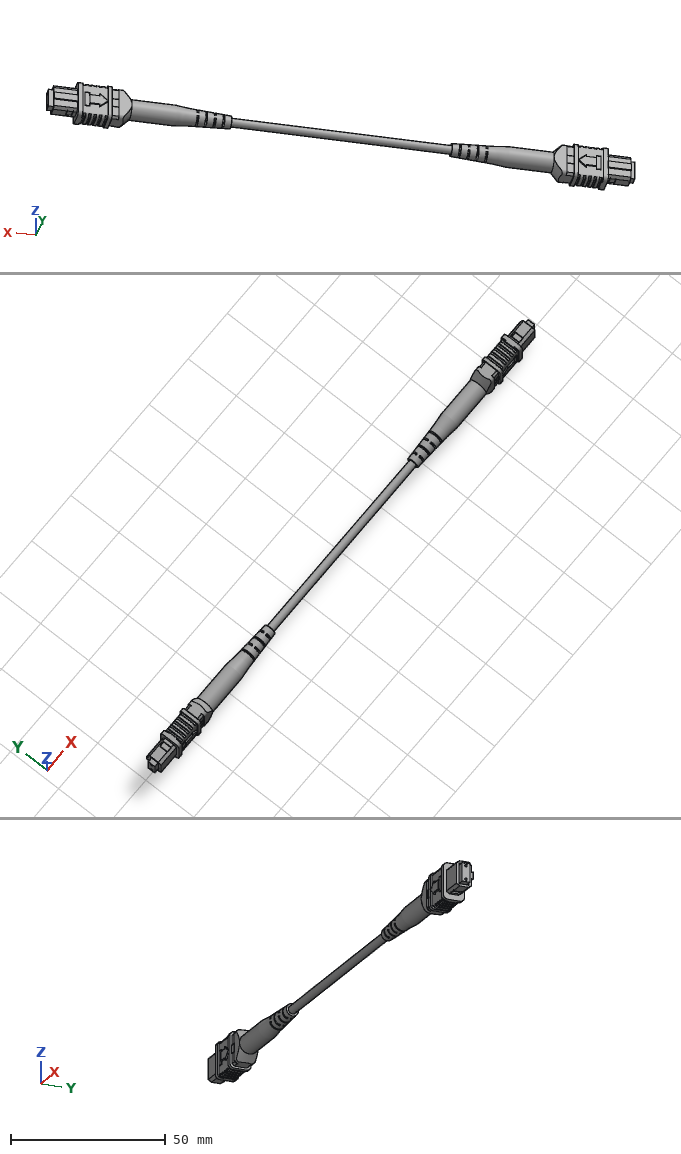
import cadquery as cq

total_length = 194.2
half_length = total_length / 2

ferrule_thickness = 2.7
ferrule_height = 6.5
pin_hole_diameter = 0.8
pin_hole_offset = 2.3
pin_hole_depth = 3.9

plug_front_at = 1.5
plug_thickness = 5.5
plug_height = 8.7
plug_chamfer_y = 1.2
plug_chamfer_z = 0.8
cavity_clearance = 0.4
cavity_depth = 2.0
key_height = 0.5
key_width = 2.3
notch_front_at = 6.2
notch_length = 2.0
notch_width = 3.1
notch_depth = 0.5

grip_front_at = 9.3
grip_rear_at = 20.5
grip_thickness = 7.5
grip_height = 12.6
grip_corner_radius = 1.5

first_groove_at = 11.3
groove_pitch = 1.7
groove_width = 0.8
groove_depth = 1.0
groove_count = 4
end_groove_at = 18.5

flange_front_end_at = 10.9
flange_rear_start_at = 19.2
panel_depth = 0.5
tail_at = 11.6
tail_height = panel_depth / 2
tail_width = 5.0
arrow_start_at = 13.2
arrow_head_at = 16.5
arrow_shaft_width = 3.1
arrow_head_width = 4.7

shoulder_at = 23.0
taper_at = 24.9
housing_rear_at = 27.2
neck_thickness = 6.0
shoulder_thickness = 6.8
housing_height = 11.3
neck_chamfer = 0.8
shoulder_radius = 1.4
tab_width = 3.0
tab_height = 0.2

boot_diameter = shoulder_thickness
cone_at = 42.0
ring_at = 46.4
boot_end_at = 60.5
ring_diameter = 5.8
boot_end_diameter = 4.3
first_slot_at = 49.0
slot_pitch = 3.0
slot_width = 0.5
slot_count = 4
slot_bridge = 1.2

cable_diameter = 3.0


def along(at):
    """X of a point at a given distance from the left end of the cord."""
    return at - half_length


def block(front_at, rear_at, thickness, height):
    """Box centred on the axis between two distances from the end."""
    return (
        cq.Workplane("YZ", origin=(along(front_at), 0, 0))
        .rect(thickness, height)
        .extrude(rear_at - front_at)
    )


def make_plug():
    cavity_end_at = plug_front_at + cavity_depth
    ferrule = block(0, cavity_end_at, ferrule_thickness, ferrule_height)
    cavity = block(
        plug_front_at,
        cavity_end_at,
        ferrule_thickness + 2 * cavity_clearance,
        ferrule_height + 2 * cavity_clearance,
    )
    body = block(plug_front_at, grip_front_at, plug_thickness, plug_height)
    body = body.edges("|X").chamfer(plug_chamfer_y, plug_chamfer_z)
    key_reach = plug_thickness / 2 + key_height
    key = block(plug_front_at, grip_front_at, key_reach, key_width)
    key = key.translate((0, key_reach / 2, 0))
    plug = body.union(key).cut(cavity).union(ferrule)

    pin_holes = (
        cq.Workplane("YZ", origin=(along(0), 0, 0))
        .pushPoints([(0, -pin_hole_offset), (0, pin_hole_offset)])
        .circle(pin_hole_diameter / 2)
        .extrude(pin_hole_depth)
    )
    plug = plug.cut(pin_holes)

    notch = block(notch_front_at, notch_front_at + notch_length, notch_width, 2 * notch_depth)
    for side in (-1, 1):
        plug = plug.cut(notch.translate((0, 0, side * plug_height / 2)))
    return plug


def rounded_block(front_at, rear_at, thickness):
    """Full-height part of the grip with rounded long edges."""
    return block(front_at, rear_at, thickness, grip_height).edges("|X").fillet(grip_corner_radius)


def make_arrow():
    """Arrow and tail that stand on both wide faces, made as one piece through the grip."""
    shaft = arrow_shaft_width / 2
    head = arrow_head_width / 2
    arrow = (
        cq.Workplane("XZ", origin=(0, grip_thickness / 2, 0))
        .polyline(
            [
                (along(arrow_start_at), -shaft),
                (along(arrow_head_at), -shaft),
                (along(arrow_head_at), -head),
                (along(flange_rear_start_at), 0),
                (along(arrow_head_at), head),
                (along(arrow_head_at), shaft),
                (along(arrow_start_at), shaft),
            ]
        )
        .close()
        .extrude(grip_thickness)
    )
    tail_thickness = grip_thickness - 2 * (panel_depth - tail_height)
    return arrow.union(block(tail_at, arrow_start_at, tail_thickness, tail_width))


def make_grip():
    core_thickness = grip_thickness - 2 * panel_depth
    grip = rounded_block(grip_front_at, grip_rear_at, core_thickness)
    grip = grip.union(rounded_block(grip_front_at, flange_front_end_at, grip_thickness))
    grip = grip.union(rounded_block(flange_rear_start_at, grip_rear_at, grip_thickness))
    grip = grip.union(make_arrow())

    grooves = [(first_groove_at + i * groove_pitch, groove_width) for i in range(groove_count)]
    grooves.append((end_groove_at, flange_rear_start_at - end_groove_at))
    for groove_at, width in grooves:
        groove = block(groove_at, groove_at + width, grip_thickness, 2 * groove_depth)
        for side in (-1, 1):
            grip = grip.cut(groove.translate((0, 0, side * grip_height / 2)))
    return grip


def make_rear_housing():
    neck = block(grip_rear_at, shoulder_at, neck_thickness, housing_height)
    neck = neck.edges("|X").chamfer(neck_chamfer)
    tab = block(grip_rear_at, shoulder_at, neck_thickness + 2 * tab_height, tab_width)

    shoulder = block(shoulder_at, housing_rear_at, shoulder_thickness, housing_height)
    shoulder = shoulder.edges("|X").fillet(shoulder_radius)
    half_z = housing_height / 2
    rear_radius = boot_diameter / 2
    cone_slope = (half_z - rear_radius) / (housing_rear_at - taper_at)
    front_radius = rear_radius + cone_slope * (housing_rear_at - shoulder_at)
    cone = (
        cq.Workplane("XY")
        .polyline(
            [
                (along(shoulder_at), 0),
                (along(shoulder_at), front_radius),
                (along(housing_rear_at), rear_radius),
                (along(housing_rear_at), 0),
            ]
        )
        .close()
        .revolve(360, (0, 0, 0), (1, 0, 0))
    )
    return neck.union(tab).union(shoulder.intersect(cone))


def make_connector():
    return make_plug().union(make_grip()).union(make_rear_housing())


def make_boot():
    boot = (
        cq.Workplane("XY")
        .polyline(
            [
                (along(housing_rear_at), cable_diameter / 2),
                (along(housing_rear_at), boot_diameter / 2),
                (along(cone_at), boot_diameter / 2),
                (along(ring_at), ring_diameter / 2),
                (along(boot_end_at), boot_end_diameter / 2),
                (along(boot_end_at), cable_diameter / 2),
            ]
        )
        .close()
        .revolve(360, (0, 0, 0), (1, 0, 0))
    )
    for i in range(slot_count):
        slot_at = first_slot_at + i * slot_pitch
        slot = block(slot_at, slot_at + slot_width, boot_diameter, boot_diameter)
        bridges = block(slot_at, slot_at + slot_width, boot_diameter, slot_bridge)
        turn = 90 * (i % 2)
        boot = boot.cut(slot.cut(bridges).rotate((0, 0, 0), (1, 0, 0), turn))
    return boot


def make_cable():
    return (
        cq.Workplane("YZ", origin=(along(housing_rear_at), 0, 0))
        .circle(cable_diameter / 2)
        .extrude(total_length - 2 * housing_rear_at)
    )


cable = make_cable()
bodies = [cable.val()]
for left_body in (make_connector(), make_boot()):
    right_body = left_body.mirror("YZ")
    bodies.append(left_body.val())
    bodies.append(right_body.val())

result = cq.Compound.makeCompound(bodies)